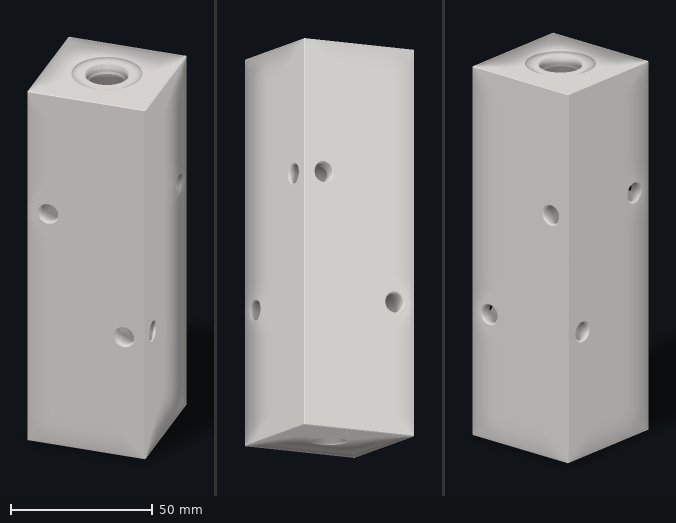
import cadquery as cq

height = 139.7
side = 44.4
edge_chamfer = 0.3

spot_face_diameter = 25.1
spot_face_depth = 0.49
seat_mouth_diameter = 15.8
seat_floor_diameter = 14.4
seat_depth = 2.5
lead_in_depth = 0.5
bore_diameter = 12.9

cross_hole_diameter = 7.1
cross_hole_mouth_diameter = 7.8
cross_hole_offset = 14.2
cross_hole_rise = side / 2


def make_block():
    block = cq.Workplane("XY").box(side, side, height)
    return block.edges().chamfer(edge_chamfer)


def make_bore():
    """Revolved tool for the stepped bore, opening at the top face."""
    top = height / 2
    spot_face_floor = top - spot_face_depth
    seat_floor = spot_face_floor - seat_depth
    bore_start = seat_floor - lead_in_depth
    return (
        cq.Workplane("XZ")
        .moveTo(0, top)
        .lineTo(spot_face_diameter / 2, top)
        .lineTo(spot_face_diameter / 2, spot_face_floor)
        .lineTo(seat_mouth_diameter / 2, spot_face_floor)
        .lineTo(seat_floor_diameter / 2, seat_floor)
        .lineTo(bore_diameter / 2, bore_start)
        .lineTo(bore_diameter / 2, -top)
        .lineTo(0, -top)
        .close()
        .revolve(360, (0, 0, 0), (0, 1, 0))
    )


def make_cross_hole():
    """Tool along Z, centred on the origin, flared by 45 degrees at both mouths."""
    hole_radius = cross_hole_diameter / 2
    mouth_radius = cross_hole_mouth_diameter / 2
    mouth = side / 2
    flare_start = mouth - (mouth_radius - hole_radius)
    return (
        cq.Workplane("XZ")
        .moveTo(0, -mouth)
        .lineTo(mouth_radius, -mouth)
        .lineTo(hole_radius, -flare_start)
        .lineTo(hole_radius, flare_start)
        .lineTo(mouth_radius, mouth)
        .lineTo(0, mouth)
        .close()
        .revolve(360, (0, 0, 0), (0, 1, 0))
    )


hole_along_x = make_cross_hole().rotate((0, 0, 0), (0, 1, 0), 90)
hole_along_y = make_cross_hole().rotate((0, 0, 0), (1, 0, 0), 90)

result = make_block().cut(make_bore())

for level in (1, -1):
    offset = level * cross_hole_offset
    rise = level * cross_hole_rise
    result = result.cut(hole_along_x.translate((0, offset, rise)))
    result = result.cut(hole_along_y.translate((-offset, 0, rise)))